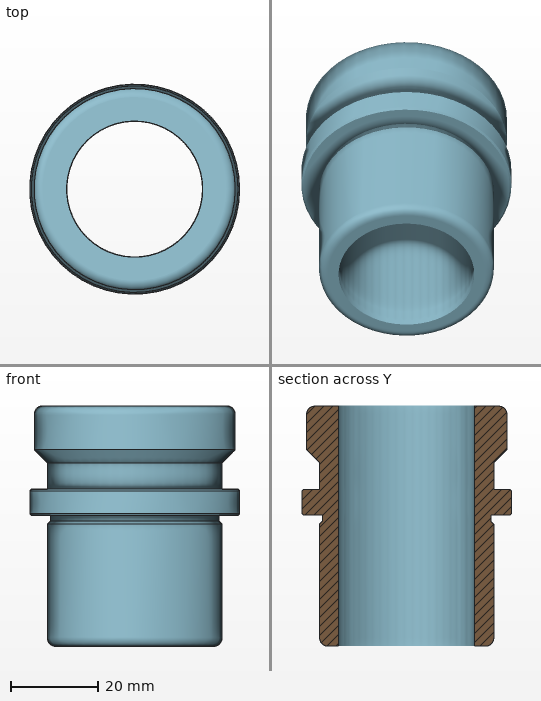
import cadquery as cq

total_height = 55.0
body_top = 28.65
flange_bottom = 30.0
flange_height = 6.0
neck_height = 6.0
cone_height = 3.0

bore_diameter = 31.0
body_diameter = 40.0
groove_diameter = 38.6
flange_diameter = 48.0
head_diameter = 46.0

end_radius = 2.0
flange_chamfer = 0.4

flange_top = flange_bottom + flange_height
neck_top = flange_top + neck_height
head_bottom = neck_top + cone_height
body_top_chamfer = (body_diameter - groove_diameter) / 2


def cylinder(diameter, bottom, top):
    """Upright cylinder on the Z axis between two heights."""
    return cq.Workplane("XY").workplane(offset=bottom).circle(diameter / 2).extrude(top - bottom)


body = cylinder(body_diameter, 0, body_top)
body = body.faces("<Z").edges().fillet(end_radius)
body = body.faces(">Z").edges().chamfer(body_top_chamfer)

groove_core = cylinder(groove_diameter, body_top, flange_bottom)

flange = cylinder(flange_diameter, flange_bottom, flange_top).edges().chamfer(flange_chamfer)
neck = cylinder(body_diameter, flange_top, neck_top)

cone = (
    cq.Workplane("XY").workplane(offset=neck_top).circle(body_diameter / 2)
    .workplane(offset=cone_height).circle(head_diameter / 2)
    .loft(ruled=True)
)

head = cylinder(head_diameter, head_bottom, total_height)
head = head.faces(">Z").edges().fillet(end_radius)

bore = cylinder(bore_diameter, 0, total_height)

result = body.union(groove_core).union(flange).union(neck).union(cone).union(head).cut(bore)